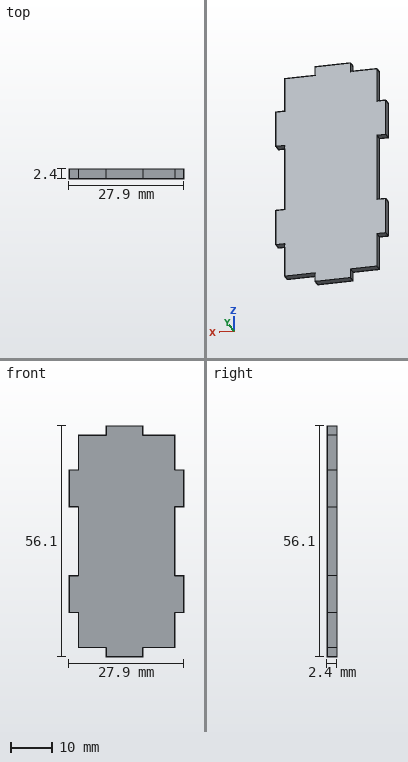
import cadquery as cq

width = 27.9
thickness = 2.4
height = 56.15

tab_length = 9.0
tab_depth = 2.25
side_tab_spacing = 25.7
end_tab_offset = -0.5

body_width = width - 2 * tab_depth
body_height = height - 2 * tab_depth


def plate(x_size, z_size, x_center=0, z_center=0):
    """Full-thickness rectangular plate in the XZ plane."""
    return cq.Workplane("XY").box(x_size, thickness, z_size).translate((x_center, 0, z_center))


panel = plate(body_width, body_height)

for z_center in (-side_tab_spacing / 2, side_tab_spacing / 2):
    panel = panel.union(plate(width, tab_length, z_center=z_center))

panel = panel.union(plate(tab_length, height, x_center=end_tab_offset))

result = panel.clean()